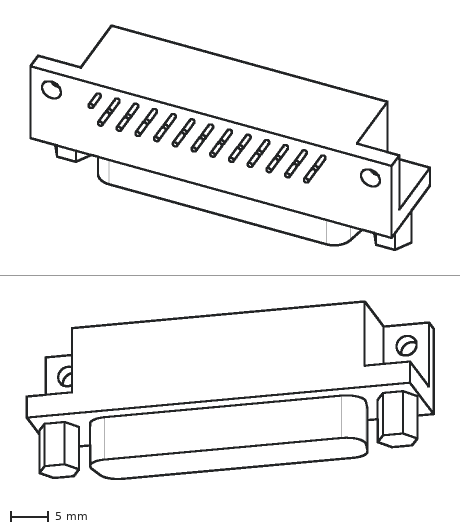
import cadquery as cq
import math

body_length = 53.45
body_depth = 12.65
body_height = 12.3
wall_thickness = 2.55
shelf_thickness = 3.05
ear_length = 6.3

mount_spacing = 47.2
mount_hole_diameter = 2.8
mount_hole_drop = 3.05

foot_height = 6.1
post_across_corners = 5.55
post_from_back = 5.35

shell_depth = 7.9
shell_front_flat = 32.15
shell_corner_radius = 2.6
shell_side_angle = 10.0
shell_from_front = 2.25

pin_diameter = 0.7
pin_length = 2.55
top_row_span = 33.25
pin_row_spacing = 2.55
top_row_drop = 1.75
top_row_count = 13
pin_pitch = top_row_span / (top_row_count - 1)

mount_positions = (-mount_spacing / 2, mount_spacing / 2)


def make_housing():
    housing = cq.Workplane("XY").box(
        body_length, body_depth, body_height, centered=(True, False, False)
    )
    notch_depth = body_depth - wall_thickness
    notch_height = body_height - shelf_thickness
    for side in (-1, 1):
        notch = cq.Workplane("XY").box(ear_length, notch_depth, notch_height, centered=(True, False, False))
        notch_x = side * (body_length - ear_length) / 2
        housing = housing.cut(notch.translate((notch_x, wall_thickness, shelf_thickness)))
    return housing


def make_rods(centers, diameter, start_y, end_y):
    """Cylinders along Y at the given (x, z) centers."""
    return (
        cq.Workplane("XZ", origin=(0, start_y, 0))
        .pushPoints(centers)
        .circle(diameter / 2)
        .extrude(start_y - end_y)
    )


def make_mount_holes():
    hole_z = body_height - mount_hole_drop
    centers = [(x, hole_z) for x in mount_positions]
    return make_rods(centers, mount_hole_diameter, 0, wall_thickness)


def make_pin_row(count, drop):
    row_z = body_height - drop
    centers = [((i - (count - 1) / 2) * pin_pitch, row_z) for i in range(count)]
    return make_rods(centers, pin_diameter, 0, -pin_length)


def make_shell():
    slope = math.tan(math.radians(shell_side_angle))
    front_tangent = shell_corner_radius * math.tan(math.radians(90 - shell_side_angle) / 2)
    front_half_width = shell_front_flat / 2 + front_tangent
    back_half_width = front_half_width + shell_depth * slope
    front_y = shell_from_front
    back_y = front_y + shell_depth
    outline = [
        (-front_half_width, front_y),
        (front_half_width, front_y),
        (back_half_width, back_y),
        (-back_half_width, back_y),
    ]
    shell = cq.Workplane("XY").polyline(outline).close().extrude(-foot_height)
    return shell.edges("|Z").fillet(shell_corner_radius)


def make_posts():
    post_y = body_depth - post_from_back
    return (
        cq.Workplane("XY")
        .pushPoints([(x, post_y) for x in mount_positions])
        .polygon(6, post_across_corners)
        .extrude(-foot_height)
    )


result = (
    make_housing()
    .cut(make_mount_holes())
    .union(make_shell())
    .union(make_posts())
    .union(make_pin_row(top_row_count, top_row_drop))
    .union(make_pin_row(top_row_count - 1, top_row_drop + pin_row_spacing))
)